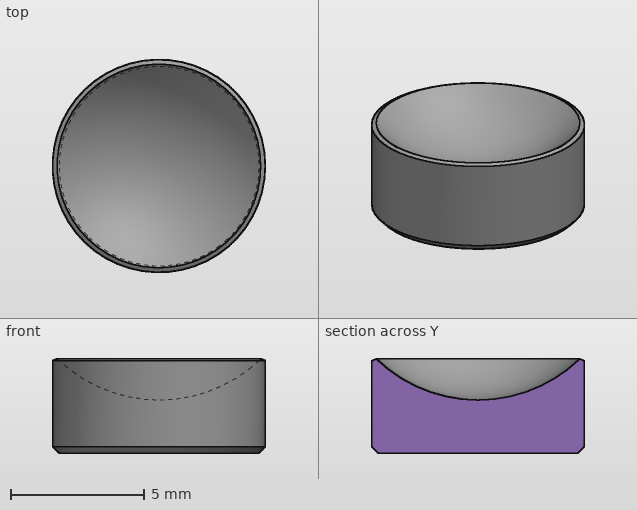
import cadquery as cq
import math

outer_radius = 4.0
height = 3.55
bottom_chamfer = 0.25
rim_width = 0.18
rim_drop = 0.07
dish_radius = 5.5

dish_edge_radius = outer_radius - rim_width
dish_centre_z = height + math.sqrt(dish_radius**2 - dish_edge_radius**2)
dish_bottom_z = dish_centre_z - dish_radius

half_angle = math.asin(dish_edge_radius / dish_radius) / 2
dish_middle = (
    dish_radius * math.sin(half_angle),
    dish_centre_z - dish_radius * math.cos(half_angle),
)

profile = (
    cq.Workplane("XZ")
    .lineTo(outer_radius - bottom_chamfer, 0)
    .lineTo(outer_radius, bottom_chamfer)
    .lineTo(outer_radius, height - rim_drop)
    .lineTo(dish_edge_radius, height)
    .threePointArc(dish_middle, (0, dish_bottom_z))
    .close()
)
result = profile.revolve(360, (0, 0, 0), (0, 1, 0))